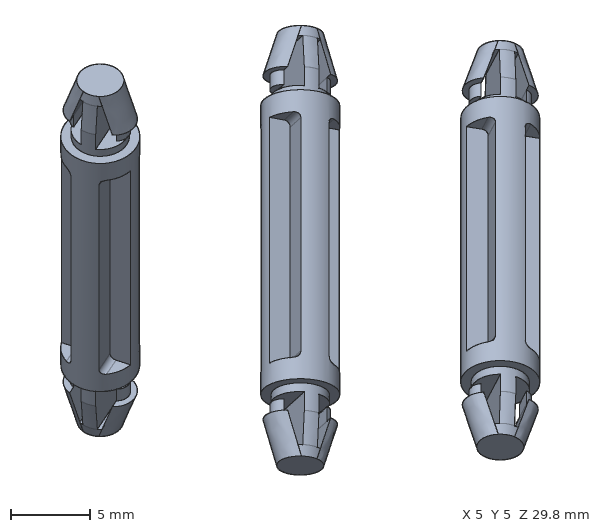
import cadquery as cq
import math

total_length = 29.8
body_diameter = 5.0
body_length = 20.0

core_half_x = 0.98
core_half_y = 0.65
pocket_length = 17.0
pocket_corner_radius = 0.42

collar_diameter = 3.7
collar_height = 0.6
web_thickness = 1.0
tip_radius = 1.5
cap_bottom_radius = 1.6
cap_height = 0.75
barb_height = 3.0
barb_root_x = 0.55
barb_spread = 0.95
stub_thickness = 0.55
stub_half_width = 0.8
stub_height = 1.0

body_radius = body_diameter / 2
collar_radius = collar_diameter / 2
tip_z = total_length / 2
body_top_z = body_length / 2
collar_top_z = body_top_z + collar_height
barb_bottom_z = tip_z - barb_height
cap_bottom_z = tip_z - cap_height
barb_inner_x = barb_root_x + barb_spread


def make_body():
    """Round body with four pockets whose inner corners are rounded."""
    body = cq.Workplane("XY").circle(body_radius).extrude(body_length / 2, both=True)
    for side_x in (-1, 1):
        for side_y in (-1, 1):
            pocket = (
                cq.Workplane("XY")
                .box(body_radius, body_radius, pocket_length)
                .translate((
                    side_x * (core_half_x + body_radius / 2),
                    side_y * (core_half_y + body_radius / 2),
                    0,
                ))
            )
            inner_side = "<X" if side_x > 0 else ">X"
            pocket = pocket.faces(inner_side).edges("|Y").fillet(pocket_corner_radius)
            body = body.cut(pocket)
    return body


def make_core():
    """Round blank for the web and cap: straight, then two tapers to the tip."""
    return (
        cq.Workplane("XZ")
        .moveTo(0, body_top_z)
        .lineTo(collar_radius, body_top_z)
        .lineTo(collar_radius, barb_bottom_z)
        .lineTo(cap_bottom_radius, cap_bottom_z)
        .lineTo(tip_radius, tip_z)
        .lineTo(0, tip_z)
        .close()
        .revolve(360, (0, 0, 0), (0, 1, 0))
    )


def make_barb():
    """Leaning barb: a circle segment swept down and outward toward +X, ending in a stub."""
    root_half_width = math.sqrt(tip_radius**2 - barb_root_x**2)
    segment = (
        cq.Workplane("XY", origin=(0, 0, tip_z))
        .moveTo(barb_root_x, -root_half_width)
        .threePointArc((tip_radius, 0), (barb_root_x, root_half_width))
        .close()
    )
    sweep = cq.Vector(barb_spread, 0, -barb_height)
    barb = cq.Workplane(cq.Solid.extrudeLinear(segment.val(), [], sweep))
    stub = (
        cq.Workplane("XY", origin=(0, 0, barb_bottom_z))
        .moveTo(barb_inner_x, -stub_half_width)
        .threePointArc((barb_inner_x + stub_thickness, 0), (barb_inner_x, stub_half_width))
        .close()
        .extrude(-stub_height)
    )
    return barb.union(stub)


def make_snap_end():
    """Collar, central web, cap and two barbs at the +Z end."""
    core = make_core()
    collar = (
        cq.Workplane("XY", origin=(0, 0, body_top_z))
        .circle(collar_radius)
        .extrude(collar_height)
    )
    web_height = tip_z - collar_top_z
    web = (
        cq.Workplane("XY", origin=(0, 0, collar_top_z + web_height / 2))
        .box(web_thickness, collar_diameter, web_height)
        .intersect(core)
    )
    cap_bottom_x = barb_root_x + barb_spread * cap_height / barb_height
    cap = (
        cq.Workplane("XZ")
        .polyline([
            (-barb_root_x, tip_z),
            (barb_root_x, tip_z),
            (cap_bottom_x, cap_bottom_z),
            (-cap_bottom_x, cap_bottom_z),
        ])
        .close()
        .extrude(collar_radius, both=True)
        .intersect(core)
    )
    barb = make_barb()
    return collar.union(web).union(cap).union(barb).union(barb.mirror("YZ"))


snap_end = make_snap_end()
result = make_body().union(snap_end).union(snap_end.mirror("XY"))